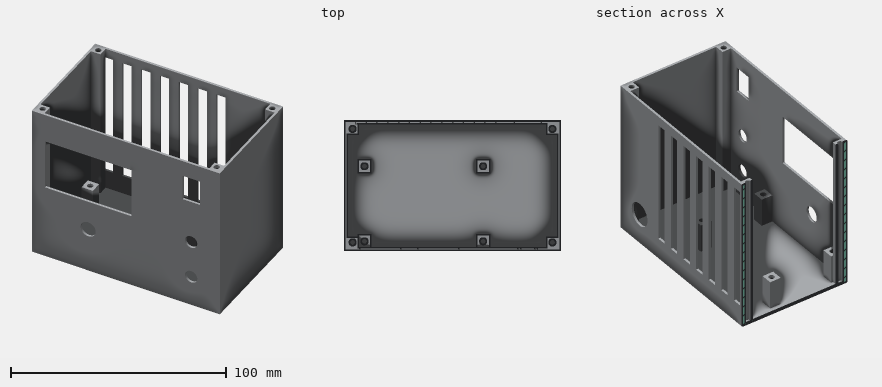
import cadquery as cq

length = 100.0
width = 60.0
wall = 1.2
body_height = 80.0
height = body_height + wall

post_size = 5.0
screw_diameter = 3.0
post_center = wall + post_size / 2

standoff_size = 6.0
standoff_height = 15.0
standoff_pitch_x = 55.0
standoff_pitch_y = 34.8
first_standoff_x = wall + post_size + standoff_size / 2
first_standoff_y = wall + standoff_size / 2

window_width = 46.0
window_height = 26.5
window_center_x = 30.0
window_center_z = 52.8
switch_width = 9.2
switch_height = 13.5
switch_center_z = 66.0
controls_x = 84.8
small_hole_diameter = 6.5
small_hole_heights = (16.2, 36.2)
knob_hole_diameter = 8.0
knob_hole_z = 23.7

slot_count = 7
slot_width = 5.0
slot_pitch = 10.0
first_slot_x = 5.0
slot_bottom = wall + 10.0
slot_top = wall + 75.0
inlet_diameter = 12.5
inlet_z = small_hole_heights[0]

back_wall_y = width - wall


def corner_box(size_x, size_y, size_z, corner):
    """Box placed by its lowest corner."""
    return cq.Workplane("XY").box(size_x, size_y, size_z, centered=False).translate(corner)


def drilled_pillar(size, pillar_height, x, y):
    """Square pillar standing on the floor with a screw hole down to the floor."""
    return (
        cq.Workplane("XY", origin=(x, y, wall))
        .rect(size, size)
        .circle(screw_diameter / 2)
        .extrude(pillar_height)
    )


def wall_rectangle(wall_y, center_x, center_z, size_x, size_z):
    """Cutter for a rectangular opening through a wall starting at wall_y."""
    corner = (center_x - size_x / 2, wall_y, center_z - size_z / 2)
    return corner_box(size_x, wall, size_z, corner)


def wall_hole(wall_y, x, z, diameter):
    """Cutter for a round hole through a wall starting at wall_y."""
    plane = cq.Workplane("XZ", origin=(x, wall_y, z))
    return plane.circle(diameter / 2).extrude(-wall)


def make_shell():
    outer = corner_box(length, width, height, (0, 0, 0))
    cavity = corner_box(length - 2 * wall, width - 2 * wall, body_height, (wall, wall, wall))
    return outer.cut(cavity)


def add_posts(body):
    for x in (post_center, length - post_center):
        for y in (post_center, width - post_center):
            body = body.union(drilled_pillar(post_size, body_height, x, y))
    return body


def add_standoffs(body):
    for x in (first_standoff_x, first_standoff_x + standoff_pitch_x):
        for y in (first_standoff_y, first_standoff_y + standoff_pitch_y):
            body = body.union(drilled_pillar(standoff_size, standoff_height, x, y))
    return body


def cut_front_openings(body):
    body = body.cut(wall_rectangle(0, window_center_x, window_center_z, window_width, window_height))
    body = body.cut(wall_rectangle(0, controls_x, switch_center_z, switch_width, switch_height))
    for z in small_hole_heights:
        body = body.cut(wall_hole(0, controls_x, z, small_hole_diameter))
    return body.cut(wall_hole(0, window_center_x, knob_hole_z, knob_hole_diameter))


def cut_back_openings(body):
    for index in range(slot_count):
        corner = (first_slot_x + index * slot_pitch, back_wall_y, slot_bottom)
        body = body.cut(corner_box(slot_width, wall, slot_top - slot_bottom, corner))
    return body.cut(wall_hole(back_wall_y, controls_x, inlet_z, inlet_diameter))


shell = make_shell()
with_pillars = add_standoffs(add_posts(shell))
result = cut_back_openings(cut_front_openings(with_pillars))